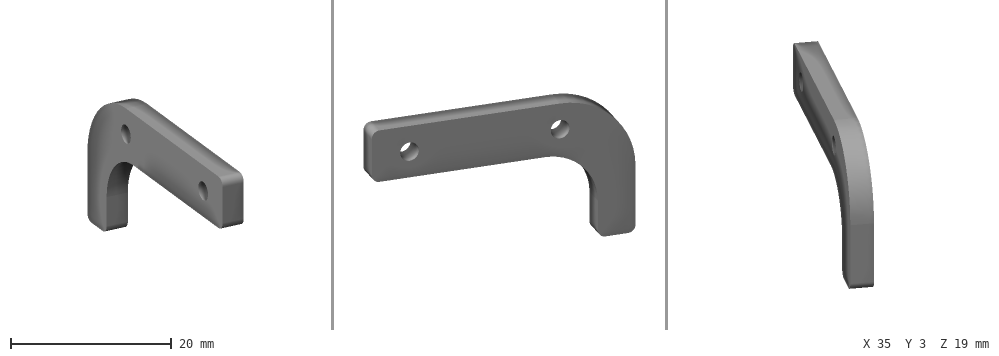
import cadquery as cq

length = 35.0
thickness = 3.0
height = 19.0

arm_width = 7.0
leg_width = 5.0
outer_bend_radius = 10.0
inner_bend_radius = 7.0
corner_radius = 1.0

hole_diameter = 2.5
hole_spacing = 20.0
first_hole_x = outer_bend_radius
hole_z = height - arm_width / 2


def bracket_plate():
    """L-shaped plate, its bottom left corner at the origin and its front face on Y = 0."""
    plate = (
        cq.Workplane("XZ")
        .polyline([
            (0, 0),
            (leg_width, 0),
            (leg_width, height - arm_width),
            (length, height - arm_width),
            (length, height),
            (0, height),
        ])
        .close()
        .extrude(-thickness)
    )
    return round_edges(plate)


def round_edges(plate):
    """Round the bend and the free ends of the arm and leg."""
    rounds = [
        (0, height, outer_bend_radius),
        (leg_width, height - arm_width, inner_bend_radius),
        (0, 0, corner_radius),
        (leg_width, 0, corner_radius),
        (length, height, corner_radius),
        (length, height - arm_width, corner_radius),
    ]
    for x, z, radius in rounds:
        corner = cq.selectors.NearestToPointSelector((x, thickness / 2, z))
        plate = plate.edges("|Y").edges(corner).fillet(radius)
    return plate


def mounting_holes():
    """Cylinders that pass through the full thickness of the arm."""
    return (
        cq.Workplane("XZ")
        .pushPoints([(first_hole_x, hole_z), (first_hole_x + hole_spacing, hole_z)])
        .circle(hole_diameter / 2)
        .extrude(-thickness)
    )


result = bracket_plate().cut(mounting_holes())